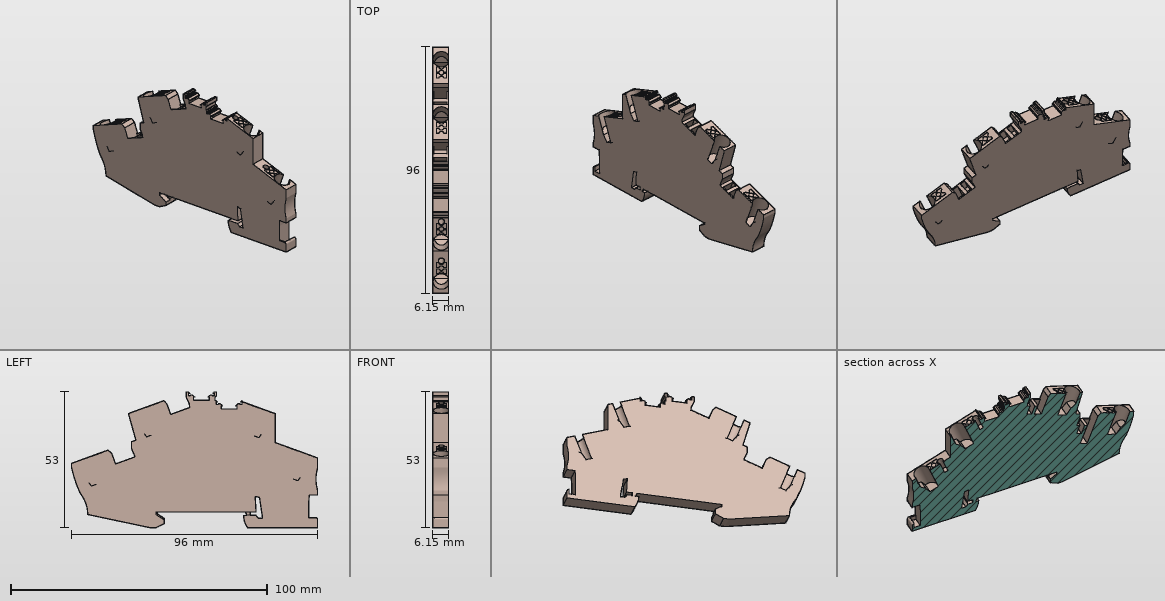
import cadquery as cq
import math

THICKNESS = 6.15
LENGTH = 96.0
HEIGHT = 53.0

SLOPE = 20.0
RISE = math.tan(math.radians(SLOPE))

LIP_TOP = 4.0
LIP_RADIUS = 0.9
LIP_POCKET_DEPTH = 2.0
LIP_POCKET_WALL = 0.6
RECESS_DEPTH = 3.45
RECESS_BEND = 10.1
RECESS_DRAFT = 0.2
RECESS_TOP = 12.75
FINGER_BOTTOM = 14.5
FINGER_TOP = 23.4
FINGER_DEPTH = 0.65
LOW_FRONT_EDGE = 27.25
STEP_Y = 16.5
HIGH_FRONT_EDGE = 44.5
HIGH_FRONT_TOP_Y = 29.45

CLIP_DEPTH = 3.2
HIGH_CLIP_Y = 45.37
HIGH_CLIP_FLOOR = HEIGHT - CLIP_DEPTH
HIGH_CLIP_HALF_WIDTH = 5.95
HIGH_CLIP_NECK = 5.4
NECK_TOP = 50.9
ARM_BOTTOM = 51.5
LOW_CLIP_Y = 34.55
LOW_CLIP_FLOOR = 46.4
CLIP_HALF = [
    (3.05, 0.0),
    (3.05, 1.15),
    (2.55, 1.15),
    (3.5, 2.0),
    (4.15, 2.0),
    (4.3, 1.7),
    (5.0, 1.7),
    (5.0, 2.6),
    (4.45, 2.6),
    (5.1, CLIP_DEPTH),
]

HIGH_TOWER_EDGE = (73.75, 44.6)
HIGH_TOWER_TOP_Y = 60.0
HIGH_SLOT_START = (57.3, 44.25)
HIGH_SLOT_END_Y = 49.95
HIGH_TOWER_WALL = 4.0
LOW_TOWER_EDGE = (LENGTH, 25.15)
LOW_TOWER_TOP_Y = 81.8
LOW_SLOT_START = (78.8, 24.95)
LOW_SLOT_END_Y = 71.4
LOW_TOWER_WALL = 4.15

RAIL_Z = 6.15
HOOK_Y = 63.15
HOOK_CORNER = (HOOK_Y, 5.2)
HOOK_NOSE = (59.8, 3.1)
FOOT_TOP = 4.95
FOOT_TIP = (28.95, 4.75)
HOOK_STEP = 0.6
NEAR_LAYER = 2.5
SPRING_PAD_Y = (26.3, 28.2)
SPRING_PAD_TAPER = 0.5

ENTRY_RADIUS = 3.2
ENTRY_X = 0.3
ENTRY_DEPTH = 11.0
ENTRY_WALL_DEPTH = 5.6
ENTRY_BEND = (1.6, 7.9)
ENTRY_LAST = 0.75

BUTTON_OFFSET = 5.5
BUTTON_WIDTH = 3.9
BUTTON_LENGTH = 4.6
BUTTON_RECESS = 0.2
BUTTON_BAR = 0.55
BUTTON_DISC_RADIUS = 0.95
END_DISC_RADIUS = 1.0
END_DISC_OFFSET = 2.5
TEST_HOLE_RADIUS = 1.15
TEST_HOLE_OFFSET = 3.1
TEST_HOLE_DEPTH = 6.0

POCKET_WIDTH = 5.0
POCKET_LENGTH = 3.0
POCKET_GAP = 1.5
END_POCKET_LENGTH = 2.0
END_POCKET_DEPTH = 4.0
HIGH_POCKET_DEPTH = 4.2
LOW_POCKET_DEPTH = 9.0


def uphill(start, y):
    """Point at y on the line that climbs from start toward the middle of the part."""
    return (y, start[1] + abs(y - start[0]) * RISE)


def tower_wall(start, height):
    """Top of a tower wall that stands square to the sloped slot floor."""
    return (start[0] + height * RISE, start[1] + height)


def clip_channel(middle, floor):
    """Channel outline listed from its -Y side to its +Y side."""
    near_side = [(middle - d, floor + h) for d, h in reversed(CLIP_HALF)]
    far_side = [(middle + d, floor + h) for d, h in CLIP_HALF]
    return near_side + far_side


def along_x(outline, x_min, x_max):
    """Prism with a YZ outline between two X positions."""
    return cq.Workplane("YZ").workplane(offset=x_min).polyline(outline).close().extrude(x_max - x_min)


def housing():
    lip_corner = LIP_RADIUS * (1 - math.sqrt(0.5))
    front_edge = [
        (0, LOW_FRONT_EDGE),
        uphill((0, LOW_FRONT_EDGE), STEP_Y),
        (STEP_Y, HIGH_FRONT_EDGE),
        uphill((STEP_Y, HIGH_FRONT_EDGE), HIGH_FRONT_TOP_Y),
    ]
    between_clips = [
        (HIGH_CLIP_Y - HIGH_CLIP_NECK, LOW_CLIP_FLOOR + CLIP_DEPTH),
        (HIGH_CLIP_Y - HIGH_CLIP_NECK, NECK_TOP),
        (HIGH_CLIP_Y - HIGH_CLIP_HALF_WIDTH, ARM_BOTTOM),
        (HIGH_CLIP_Y - HIGH_CLIP_HALF_WIDTH, HEIGHT),
    ]
    high_tower = [
        (HIGH_CLIP_Y + HIGH_CLIP_HALF_WIDTH, HEIGHT),
        (HIGH_CLIP_Y + HIGH_CLIP_HALF_WIDTH, NECK_TOP),
        (50.15, 48.4),
        uphill(HIGH_SLOT_START, HIGH_SLOT_END_Y),
        HIGH_SLOT_START,
        tower_wall(HIGH_SLOT_START, HIGH_TOWER_WALL),
        uphill(HIGH_TOWER_EDGE, HIGH_TOWER_TOP_Y),
        HIGH_TOWER_EDGE,
        (73.7, 44.0),
        (70.95, 34.2),
    ]
    low_tower = [
        (72.7, 33.55),
        (72.7, 31.0),
        (71.45, 28.1),
        uphill(LOW_SLOT_START, LOW_SLOT_END_Y),
        LOW_SLOT_START,
        tower_wall(LOW_SLOT_START, LOW_TOWER_WALL),
        uphill(LOW_TOWER_EDGE, LOW_TOWER_TOP_Y),
        LOW_TOWER_EDGE,
        (LENGTH, 23.5),
    ]
    hook = [
        (65.4, 0),
        (63.1, 0),
        (59.8, 1.6),
        HOOK_NOSE,
        HOOK_CORNER,
        (HOOK_Y, RAIL_Z),
    ]
    spring_slot = [
        (24.0, RAIL_Z),
        (24.35, 12.2),
        (22.75, 11.8),
        (21.55, 3.8),
        (23.2, 3.8),
        (24.15, FOOT_TOP),
        (27.5, FOOT_TOP),
        FOOT_TIP,
    ]

    path = cq.Workplane("YZ").workplane(offset=-THICKNESS / 2).moveTo(0, 0)
    path = path.lineTo(0, LIP_TOP - LIP_RADIUS)
    path = path.threePointArc((lip_corner, LIP_TOP - lip_corner), (LIP_RADIUS, LIP_TOP))
    recess = [
        (RECESS_DEPTH, LIP_TOP),
        (RECESS_DEPTH, RECESS_BEND),
        (RECESS_DEPTH - RECESS_DRAFT, RECESS_TOP),
        (0, RECESS_TOP),
        (0, FINGER_BOTTOM),
    ]
    for point in recess:
        path = path.lineTo(*point)
    path = path.threePointArc((FINGER_DEPTH, (FINGER_BOTTOM + FINGER_TOP) / 2), (0, FINGER_TOP))
    top = front_edge + clip_channel(LOW_CLIP_Y, LOW_CLIP_FLOOR) + between_clips
    top += clip_channel(HIGH_CLIP_Y, HIGH_CLIP_FLOOR) + high_tower + low_tower
    for point in top:
        path = path.lineTo(*point)
    path = path.threePointArc((94.75, 18.8), (92.9, 14.0))
    path = path.lineTo(91.3, 11.4)
    path = path.threePointArc((90.2, 8.7), (89.7, 5.15))
    for point in hook + spring_slot:
        path = path.lineTo(*point)
    path = path.threePointArc((28.5, 2.2), (27.35, 0))
    return path.close().extrude(THICKNESS)


def lip_pocket():
    """Pocket behind the latch lip, open on the +X side."""
    bottom = LIP_TOP - LIP_POCKET_DEPTH
    outline = [
        (LIP_RADIUS, bottom),
        (RECESS_DEPTH, bottom),
        (RECESS_DEPTH, LIP_TOP),
        (LIP_RADIUS, LIP_TOP),
    ]
    return along_x(outline, -THICKNESS / 2 + LIP_POCKET_WALL, THICKNESS / 2)


def set_back_details():
    """Proud band inside the hook and pad above the foot, both behind the -X layer."""
    x_min = -THICKNESS / 2 + NEAR_LAYER
    x_max = THICKNESS / 2
    hook_band = along_x(
        [
            (HOOK_Y, RAIL_Z),
            HOOK_CORNER,
            HOOK_NOSE,
            (HOOK_NOSE[0], HOOK_NOSE[1] + HOOK_STEP),
            (HOOK_Y - HOOK_STEP, HOOK_CORNER[1] + HOOK_STEP / 2),
            (HOOK_Y - HOOK_STEP, RAIL_Z),
        ],
        x_min,
        x_max,
    )
    pad_near, pad_far = SPRING_PAD_Y
    pad = along_x(
        [
            (pad_near, FOOT_TOP),
            (pad_near, RAIL_Z),
            (pad_far, RAIL_Z),
            (pad_far - SPRING_PAD_TAPER, FOOT_TOP),
        ],
        x_min,
        x_max,
    )
    return hook_band.union(pad)


def sloped_plane(y, z, side):
    """Plane on a sloped face; its local Y runs along the face toward +Y."""
    angle = math.radians(SLOPE)
    normal = (0, side * math.sin(angle), math.cos(angle))
    return cq.Plane(origin=(ENTRY_X, y, z), xDir=(1, 0, 0), normal=normal)


def wire_entry(plane, side):
    """Round entry whose floor falls steeply from the outer wall toward the inner one."""
    hole = cq.Workplane(plane).circle(ENTRY_RADIUS).extrude(-ENTRY_DEPTH)
    mouth = cq.Workplane(plane).circle(ENTRY_RADIUS).extrude(ENTRY_RADIUS)
    floor = [
        (ENTRY_RADIUS, ENTRY_WALL_DEPTH),
        ENTRY_BEND,
        (ENTRY_LAST, ENTRY_DEPTH),
        (ENTRY_RADIUS, ENTRY_DEPTH),
    ]
    across = cq.Plane(origin=plane.origin.toTuple(), xDir=plane.yDir.toTuple(), normal=(1, 0, 0))
    wedge = cq.Workplane(across).polyline([(side * out, -depth) for out, depth in floor])
    wedge = wedge.close().extrude(ENTRY_RADIUS, both=True)
    return hole.cut(wedge).union(mouth)


def button_recess(plane, side):
    """Shallow rectangular recess that leaves a cross bar and three discs standing."""
    middle = -side * BUTTON_OFFSET
    base = cq.Workplane(plane).center(0, middle)
    recess = base.rect(BUTTON_WIDTH, BUTTON_LENGTH).extrude(-BUTTON_RECESS)
    recess = recess.cut(base.rect(BUTTON_WIDTH, BUTTON_BAR).extrude(-BUTTON_RECESS))
    recess = recess.cut(base.circle(BUTTON_DISC_RADIUS).extrude(-BUTTON_RECESS))
    ends = base.pushPoints([(0, -END_DISC_OFFSET), (0, END_DISC_OFFSET)])
    return recess.cut(ends.circle(END_DISC_RADIUS).extrude(-BUTTON_RECESS))


def test_hole(plane, side):
    middle = -side * (BUTTON_OFFSET + TEST_HOLE_OFFSET)
    return cq.Workplane(plane).center(0, middle).circle(TEST_HOLE_RADIUS).extrude(-TEST_HOLE_DEPTH)


def slot_pockets(slot_start, depth):
    """Wire pocket next to the tower wall and a second one near the end of the slot floor."""
    angle = math.radians(SLOPE)
    plane = cq.Plane(
        origin=(0, *slot_start), xDir=(1, 0, 0), normal=(0, math.sin(angle), math.cos(angle))
    )
    first = cq.Workplane(plane).center(0, -POCKET_LENGTH / 2)
    first = first.rect(POCKET_WIDTH, POCKET_LENGTH).extrude(-depth)
    second_middle = -(POCKET_LENGTH + POCKET_GAP + END_POCKET_LENGTH / 2)
    second = cq.Workplane(plane).center(0, second_middle)
    second = second.rect(POCKET_WIDTH, END_POCKET_LENGTH).extrude(-END_POCKET_DEPTH)
    return first.union(second)


TERMINALS = [
    (4.65, (0, LOW_FRONT_EDGE), -1),
    (19.9, (STEP_Y, HIGH_FRONT_EDGE), -1),
    (69.8, HIGH_TOWER_EDGE, 1),
    (91.3, LOW_TOWER_EDGE, 1),
]

result = housing().union(set_back_details()).cut(lip_pocket())
for entry_y, face_edge, facing in TERMINALS:
    face = sloped_plane(*uphill(face_edge, entry_y), facing)
    result = result.cut(button_recess(face, facing))
    result = result.cut(wire_entry(face, facing))
    if facing < 0:
        result = result.cut(test_hole(face, facing))
for slot, pocket_depth in ((HIGH_SLOT_START, HIGH_POCKET_DEPTH), (LOW_SLOT_START, LOW_POCKET_DEPTH)):
    result = result.cut(slot_pockets(slot, pocket_depth))